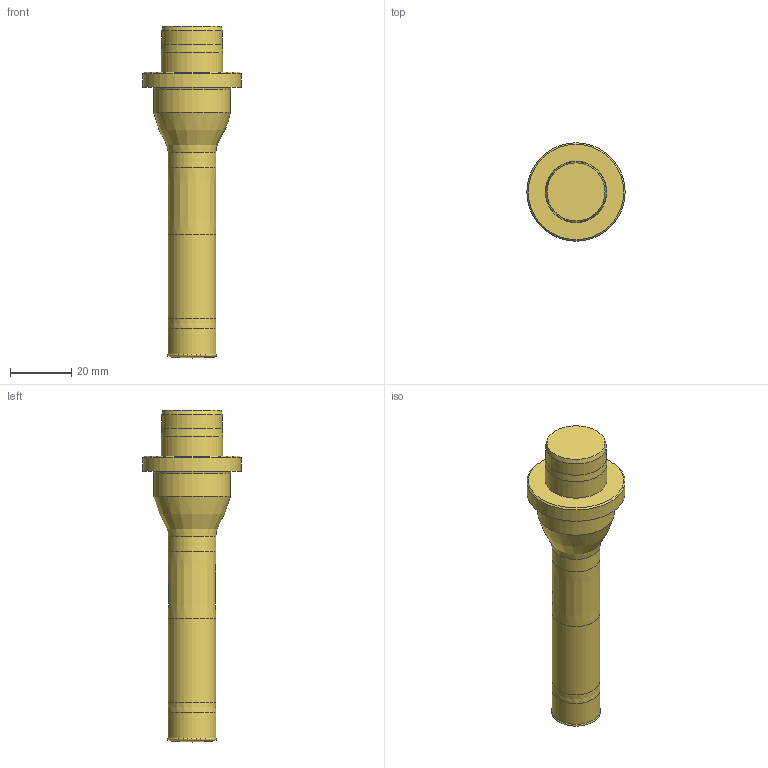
import cadquery as cq
import math

stem_diameter = 15.6
waist_diameter = 15.44
body_diameter = 25.0
flange_diameter = 32.0
shank_diameter = 20.0
shank_pilot_diameter = 19.7

overall_length = 108.0
seat_height = 1.3
waist_taper_bottom = 9.6
waist_bottom = 13.0
waist_top = 40.2
stem_full_height = 62.0
neck_bottom = 67.0
neck_top = 80.0
flange_bottom = 88.0
flange_thickness = 5.0
shank_taper_bottom = 99.5
shank_taper_top = 102.0

cone_angle = math.radians(15)
root_cone_height = 0.5
lead_in_height = 1.5
flange_chamfer = 0.5

neck_lower_reach = 4.2
neck_upper_reach = 7.3
neck_upper_lean = 1.15

lip_diameter = 16.0
lip_height = 1.0
lip_lower_diameter = 15.4
lip_lower_height = 0.52
dome_diameter = 13.2
dome_height = 0.28

stem_radius = stem_diameter / 2
waist_radius = waist_diameter / 2
body_radius = body_diameter / 2
flange_radius = flange_diameter / 2
shank_radius = shank_diameter / 2
pilot_radius = shank_pilot_diameter / 2
flange_top = flange_bottom + flange_thickness
root_radius = body_radius + root_cone_height * math.tan(cone_angle)
shank_end_radius = pilot_radius - lead_in_height * math.tan(cone_angle)


def revolve_about_z(half_profile):
    """Turn a closed (radius, height) profile a full circle about the Z axis."""
    return half_profile.revolve(360, (0, 0, 0), (0, 1, 0))


def make_holder():
    """Waisted stem, curved neck, cylindrical body, flange and stepped shank in one piece."""
    neck_curve = [
        (stem_radius, neck_bottom),
        (stem_radius, neck_bottom + neck_lower_reach),
        (body_radius - neck_upper_lean, neck_top - neck_upper_reach),
        (body_radius, neck_top),
    ]
    stem = (
        cq.Workplane("XZ")
        .moveTo(0, seat_height)
        .lineTo(stem_radius, seat_height)
        .lineTo(stem_radius, waist_taper_bottom)
        .lineTo(waist_radius, waist_bottom)
        .lineTo(waist_radius, waist_top)
        .lineTo(stem_radius, stem_full_height)
        .lineTo(stem_radius, neck_bottom)
    )
    body_and_flange = (
        stem.bezier(neck_curve)
        .lineTo(body_radius, flange_bottom - root_cone_height)
        .lineTo(root_radius, flange_bottom)
        .lineTo(flange_radius, flange_bottom)
        .lineTo(flange_radius, flange_top - flange_chamfer)
        .lineTo(flange_radius - flange_chamfer, flange_top)
    )
    profile = (
        body_and_flange.lineTo(shank_radius, flange_top)
        .lineTo(shank_radius, shank_taper_bottom)
        .lineTo(pilot_radius, shank_taper_top)
        .lineTo(pilot_radius, overall_length - lead_in_height)
        .lineTo(shank_end_radius, overall_length)
        .lineTo(0, overall_length)
        .close()
    )
    return revolve_about_z(profile)


def make_tip():
    """Thin round tip under the stem: domed underside running smoothly into a rounded lip."""
    dome_and_lip = [
        (0, 0),
        (dome_diameter / 2, dome_height),
        (lip_lower_diameter / 2, lip_lower_height),
        (lip_diameter / 2, lip_height),
        (stem_radius, seat_height),
    ]
    flat_at_centre = (1, 0)
    inward_at_seat = (-1, 1)
    profile = (
        cq.Workplane("XZ")
        .spline(dome_and_lip, tangents=[flat_at_centre, inward_at_seat])
        .lineTo(0, seat_height)
        .close()
    )
    return revolve_about_z(profile)


holder = make_holder()
tip = make_tip()

result = cq.Compound.makeCompound([holder.val(), tip.val()])